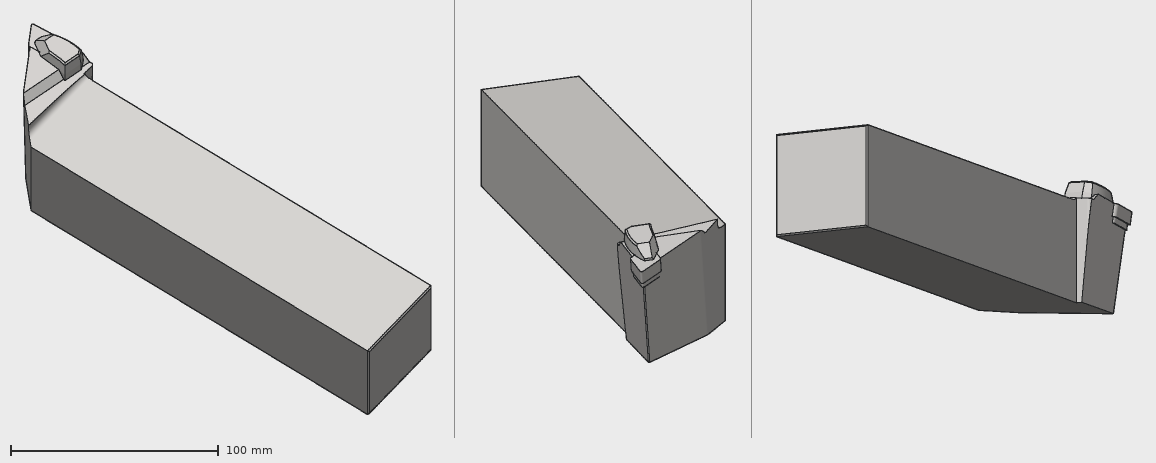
import cadquery as cq
import math

total_length = 249.3
shank_size = 50.0
end_chamfer = 0.7

tip_y = 59.8
tip_z = 50.4
tilt = 0.1

insert_side = 15.7
insert_angle = 58.0
insert_thickness = 6.5
insert_corner_radius = 2.2
tip_radius = 0.7

shim_inset = 0.7
shim_thickness = 3.0

head_back_inset = 1.5
head_flank_inset = 0.87
nose_flat = 0.7
head_end_x = 38.6
head_top_z = 64.8
head_corner_radius = 2.2
front_corner_x = 45.0
flank_blend_radius = 4.5
step_radius = 3.2

step_angle = 9.0
step_drop = 3.7
step_run = 3.7
step_foot_x = 32.7
step_foot_y = 41.0

clamp_heel_x = 35.0
clamp_heel_y = 47.9
clamp_length = 26.5
clamp_height = 6.0
clamp_taper = 8.0
clamp_edge_chamfer = 0.7
clamp_nose_height = 1.0
clamp_nose_slope_length = 7.0
clamp_facet_lean = 3.2
nose_half_width = 2.0
nose_back_half_width = 2.5
heel_half_width = 6.7
flat_half_width = 6.2
flat_start = 4.7
flat_end = 17.5
bulge_half_width = 8.0
bulge_place = 10.0
bulge_end_place = 2.5
bulge_end_half_width = 7.7
heel_back_half_width = 4.0

reach = 149.5

tip_setback = tip_radius / math.tan(math.radians(insert_angle / 2)) - tip_radius
seat_origin = (-tip_setback, tip_y, tip_z - tilt * tip_setback)
seat = cq.Plane(origin=seat_origin, xDir=(1, 0, tilt), normal=(-tilt, tilt, 1))

turn = math.radians(step_angle)
backward = seat.xDir * math.cos(turn) - seat.yDir * math.sin(turn)
forward = backward * -1
sideways = seat.zDir.cross(backward)


def on_seat(x, y):
    """The point of the seat plane above (x, y)."""
    return cq.Vector(x, y, tip_z + tilt * (x + tip_y - y))


def make_plate(inset, thickness, depth):
    """Rhombic plate with round corners, below the seat plane and inset from the insert's sides."""
    angle = math.radians(insert_angle)
    side = insert_side - 2 * inset / math.sin(angle)
    lean_x = side * math.cos(angle)
    lean_y = side * math.sin(angle)
    tip = (inset / math.tan(angle / 2), -inset)
    back_corner = (tip[0] + side, tip[1])
    flank_corner = (tip[0] + lean_x, tip[1] - lean_y)
    plate = (
        cq.Workplane(seat)
        .workplane(offset=-depth)
        .moveTo(*tip)
        .lineTo(*back_corner)
        .line(lean_x, -lean_y)
        .lineTo(*flank_corner)
        .close()
        .extrude(-thickness)
    )
    corners = (
        (tip, tip_radius),
        (back_corner, insert_corner_radius),
        (flank_corner, insert_corner_radius),
    )
    for (x, y), radius in corners:
        edge_middle = seat.toWorldCoords((x, y, -depth - thickness / 2)).toTuple()
        plate = plate.edges(cq.selectors.NearestToPointSelector(edge_middle)).fillet(radius)
    return plate


def make_shank():
    """Square bar with a small chamfer around its far end."""
    shank_length = total_length - front_corner_x
    shank = cq.Workplane("XY").box(shank_length, shank_size, shank_size, centered=False)
    return shank.translate((front_corner_x, 0, 0)).faces(">X").chamfer(end_chamfer)


def make_head_blank():
    """Prism along the seat normal behind both cutting sides, with a flat on its nose."""
    angle = math.radians(insert_angle)
    nose_x = (head_flank_inset + head_back_inset * math.cos(angle)) / math.sin(angle)
    flank_x = math.cos(angle)
    flank_y = -math.sin(angle)
    return (
        cq.Workplane(seat)
        .moveTo(nose_x + nose_flat, -head_back_inset)
        .lineTo(reach, -head_back_inset)
        .lineTo(reach, -head_back_inset + reach * flank_y)
        .lineTo(nose_x + reach * flank_x, -head_back_inset + reach * flank_y)
        .lineTo(nose_x + nose_flat * flank_x, -head_back_inset + nose_flat * flank_y)
        .close()
        .extrude(-reach / 2)
    )


def make_head_envelope():
    """Upright block with the 45 degree front face, the end wall and the round at its foot."""
    fillet_end_x = head_end_x + step_radius
    block = (
        cq.Workplane("XY")
        .moveTo(front_corner_x, 0)
        .lineTo(front_corner_x, shank_size)
        .lineTo(head_end_x, shank_size)
        .lineTo(head_end_x, tip_y - head_back_inset - head_corner_radius)
        .radiusArc(
            (head_end_x - head_corner_radius, tip_y - head_back_inset), -head_corner_radius
        )
        .lineTo(head_end_x - head_corner_radius, tip_y)
        .lineTo(front_corner_x - tip_y, tip_y)
        .close()
        .extrude(head_top_z)
    )
    above_shank = (
        cq.Workplane("XZ")
        .moveTo(reach, shank_size)
        .lineTo(fillet_end_x, shank_size)
        .radiusArc((head_end_x, shank_size + step_radius), step_radius)
        .lineTo(head_end_x, reach)
        .lineTo(reach, reach)
        .close()
        .extrude(-reach)
    )
    return block.cut(above_shank)


def flank_corner_point():
    """A place near the middle of the edge between the flank and the 45 degree face."""
    x = (tip_y - front_corner_x) / (math.tan(math.radians(insert_angle)) - 1)
    return x, front_corner_x - x, shank_size / 2


def make_step_cut():
    """Lowers the seat plane behind a slope that runs across the head."""
    foot = on_seat(step_foot_x, step_foot_y)
    profile_plane = cq.Plane(origin=foot, xDir=backward, normal=sideways * -1)
    return (
        cq.Workplane(profile_plane)
        .moveTo(-step_run, 0)
        .lineTo(0, -step_drop)
        .lineTo(reach, -step_drop)
        .lineTo(reach, reach)
        .lineTo(-step_run, reach)
        .close()
        .extrude(reach, both=True)
    )


def make_clamp_outline(frame):
    """Outline of the clamp, from the flank side of its heel round the nose to its back side."""
    bulge_end = (bulge_end_place, -bulge_end_half_width)
    return (
        cq.Workplane(frame)
        .moveTo(0, heel_half_width)
        .lineTo(flat_start, flat_half_width)
        .lineTo(flat_end, flat_half_width)
        .lineTo(clamp_length, nose_half_width)
        .lineTo(clamp_length, -nose_back_half_width)
        .threePointArc((bulge_place, -bulge_half_width), bulge_end)
        .lineTo(0, -heel_back_half_width)
        .close()
    )


def make_nose_slope_cut(frame):
    """Wedge that slopes the top of the clamp down to its nose."""
    profile_plane = cq.Plane(origin=frame.origin, xDir=forward, normal=sideways)
    return (
        cq.Workplane(profile_plane)
        .moveTo(clamp_length, clamp_nose_height)
        .lineTo(clamp_length - clamp_nose_slope_length, clamp_height)
        .lineTo(clamp_length, clamp_height)
        .close()
        .extrude(reach, both=True)
    )


def make_side_facet_cut(frame):
    """Wedge that leans the clamp's slanting side inwards."""
    nose_corner = frame.toWorldCoords((clamp_length, nose_half_width, 0))
    flat_corner = frame.toWorldCoords((flat_end, flat_half_width, 0))
    along = flat_corner - nose_corner
    profile_plane = cq.Plane(origin=nose_corner, xDir=seat.zDir.cross(along), normal=along)
    return (
        cq.Workplane(profile_plane)
        .lineTo(clamp_facet_lean, clamp_height)
        .lineTo(-clamp_facet_lean, clamp_height)
        .close()
        .extrude(reach, both=True)
    )


def make_clamp():
    """Tapered clamp finger on top of the insert, with a root that fills the step under it."""
    heel = on_seat(clamp_heel_x, clamp_heel_y)
    frame = cq.Plane(origin=heel, xDir=forward, normal=seat.zDir)
    root = make_clamp_outline(frame).extrude(-step_drop)
    finger = make_clamp_outline(frame).extrude(clamp_height, taper=clamp_taper)
    top_face = finger.faces(cq.selectors.DirectionMinMaxSelector(frame.zDir))
    finger = top_face.chamfer(clamp_edge_chamfer)
    finger = finger.cut(make_nose_slope_cut(frame)).cut(make_side_facet_cut(frame))
    return finger.union(root)


def make_holder(insert):
    """Shank, head, shim and clamp as one solid, with a pocket that fits the insert."""
    head = make_head_blank().intersect(make_head_envelope())
    flank_edge = head.edges(cq.selectors.NearestToPointSelector(flank_corner_point()))
    head = flank_edge.fillet(flank_blend_radius)
    head = head.cut(make_step_cut())
    shim = make_plate(shim_inset, shim_thickness, insert_thickness)
    return head.union(make_shank()).union(shim).union(make_clamp()).cut(insert)


insert = make_plate(0, insert_thickness, 0)
holder = make_holder(insert)

result = cq.Compound.makeCompound([holder.solids().val(), insert.solids().val()])